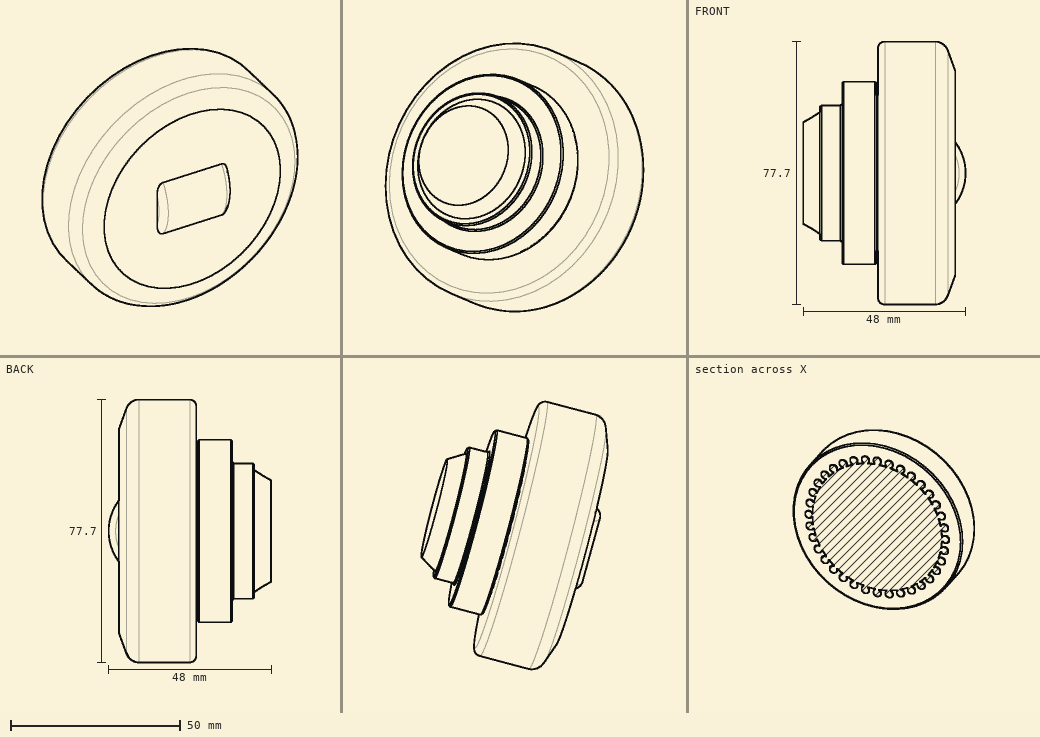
import cadquery as cq
import math

cone_end = 5.0
hub_end = 11.5
flange_end = 21.7
wheel_start = 22.1
wheel_end = 45.0
overall_length = 48.0

cone_tip_radius = 15.0
cone_base_radius = 18.0
hub_radius = 40.0 / 2
flange_radius = 54.0 / 2
neck_radius = 20.7
wheel_radius = 38.85
wheel_face_radius = 30.1

edge_chamfer = 0.5
wheel_back_fillet = 2.0
wheel_front_fillet = 4.0
wheel_bevel_angle = 20.0

needle_count = 36
needle_diameter = 2.5
needle_pitch_radius = 21.75

roller_radius = 15.0
roller_width = 24.0
roller_fillet = 2.0


def revolve_about_x(profile):
    """Revolve a closed (axial, radial) profile about the X axis."""
    return profile.close().revolve(360, (0, 0, 0), (1, 0, 0))


def make_stem():
    """Tapered nose, hub, flange and the neck that enters the wheel."""
    profile = (
        cq.Workplane("XY")
        .moveTo(0, 0)
        .lineTo(0, cone_tip_radius)
        .lineTo(cone_end, cone_base_radius)
        .lineTo(cone_end, hub_radius - edge_chamfer)
        .lineTo(cone_end + edge_chamfer, hub_radius)
        .lineTo(hub_end - edge_chamfer, hub_radius)
        .lineTo(hub_end, hub_radius + edge_chamfer)
        .lineTo(hub_end, flange_radius - edge_chamfer)
        .lineTo(hub_end + edge_chamfer, flange_radius)
        .lineTo(flange_end - edge_chamfer, flange_radius)
        .lineTo(flange_end, flange_radius - edge_chamfer)
        .lineTo(flange_end, neck_radius)
        .lineTo(wheel_start, neck_radius)
        .lineTo(wheel_start, 0)
    )
    return revolve_about_x(profile)


def rim_at(station):
    """Selector for circular edges that lie wholly at one axial station."""
    tolerance = 0.1
    reach = 2 * wheel_radius
    return cq.selectors.BoxSelector(
        (station - tolerance, -reach, -reach),
        (station + tolerance, reach, reach),
        boundingbox=True,
    )


def make_wheel():
    """Wheel with a rounded back rim and a rounded, bevelled front rim."""
    bevel_length = (wheel_radius - wheel_face_radius) * math.tan(math.radians(wheel_bevel_angle))
    bevel_start = wheel_end - bevel_length
    profile = (
        cq.Workplane("XY")
        .moveTo(wheel_start, 0)
        .lineTo(wheel_start, wheel_radius)
        .lineTo(bevel_start, wheel_radius)
        .lineTo(wheel_end, wheel_face_radius)
        .lineTo(wheel_end, 0)
    )
    wheel = revolve_about_x(profile)
    wheel = wheel.edges(rim_at(bevel_start)).fillet(wheel_front_fillet)
    return wheel.edges(rim_at(wheel_start)).fillet(wheel_back_fillet)


def make_needles():
    """Ring of needle rollers bridging the gap between flange and wheel."""
    return (
        cq.Workplane("YZ")
        .workplane(offset=flange_end)
        .polarArray(needle_pitch_radius, 0, 360, needle_count)
        .circle(needle_diameter / 2)
        .extrude(wheel_start - flange_end)
    )


def make_side_roller():
    """Cylinder along Y with rounded ends, sunk into the wheel."""
    return (
        cq.Workplane("XZ")
        .center(overall_length - roller_radius, 0)
        .circle(roller_radius)
        .extrude(roller_width / 2, both=True)
        .edges("%CIRCLE")
        .fillet(roller_fillet)
    )


result = make_stem().union(make_needles()).union(make_wheel()).union(make_side_roller())